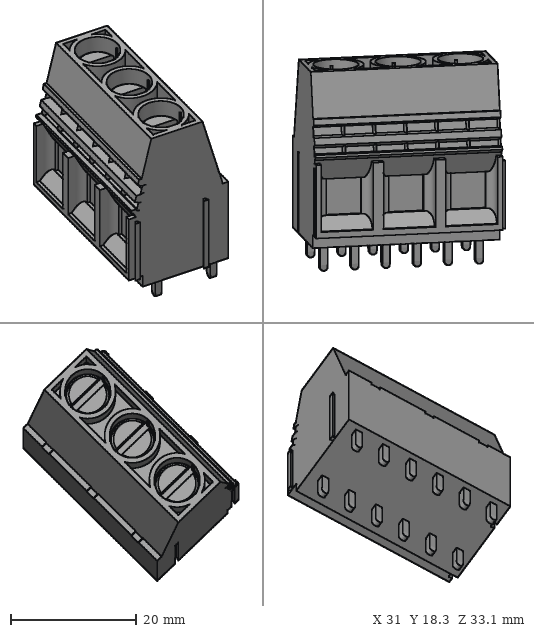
import cadquery as cq
import math


pole_count = 3
pitch = 10.15
length = pole_count * pitch
height = 33.1
depth = 18.3
base_z = 4.65

foot_y = 2.5
lip_bottom_z = 6.75
lip_top_z = 18.75
top_front_y = 4.1
top_back_y = 13.57
ledge_z = 19.63
ledge_width = 1.0

slope_foot_y, slope_foot_z = 2.35, 25.85
wall_inset = 1.45
rib_inset = 0.45
cells_per_pole = 2
rib_half_width = 0.25
rib_embed = 0.53
upper_rail_proud = 0.5
middle_rail_proud = 0.25
lower_rail_proud = 0.53
upper_rail_tip_z = 24.9
upper_rail_heel_y, upper_rail_heel_z = 2.4, 24.43
upper_cell_top_z, upper_cell_bottom_z = 24.3, 22.87
middle_rail_tip_z = 21.75
lower_cell_top_z, lower_cell_bottom_z = 21.0, 20.0
trough_y, trough_z = 1.8, 19.75
lower_rail_top_z, lower_rail_tip_z = 20.25, 19.85
throat_z = 19.33
lip_depth = 1.25

pocket_width = 8.47
pocket_floor_z = 7.75
floor_land = 0.63
funnel_y = 2.6
tunnel_bottom_z, tunnel_top_z = 9.85, 15.85
corner_radius = 1.4
corner_end_y = 2.7
tunnel_end_y = 3.25

well_radius = 3.65
boss_radius = 4.45
recess_wall = 0.85
recess_depth = 3.97
screw_y = (top_front_y + top_back_y) / 2
screw_drop = 2.45
screw_radius = 3.4
screw_chamfer = 0.4
slot_width = 1.25
slot_depth = 1.32
well_key_width = 0.4
well_key_thickness = 0.2
well_key_drop = 1.0

notch_width = 1.6
notch_depth = 0.5
notch_dip = 0.05

dovetail_top_z = 17.87
dovetail_places = ((1.3, lip_bottom_z), (13.9, base_z))
tongue_height = 0.55
tongue_base_width = 0.33
tongue_tip_width = 0.95
groove_mouth_width = 0.7
groove_floor_width = 1.05
groove_depth = 0.63

pins_per_pole = 2
pin_width = 1.22
pin_rows_y = (6.6, 16.7)
pin_taper_z = 1.0
pin_tip_thickness = 0.93
pin_root_depth = 0.65

pole_centers = [(i + 0.5) * pitch for i in range(pole_count)]


def slope_y(z, inset=0.0):
    """Y of the front slope at height z, moved back by inset."""
    run = (top_front_y - slope_foot_y) / (height - slope_foot_z)
    return top_front_y - run * (height - z) + inset


def slope_point(z, inset=0.0):
    """(Y, Z) point on the front slope at height z, moved back by inset."""
    return (slope_y(z, inset), z)


def extrude_along_x(points, x_start, x_length):
    """Prism along X from a (Y, Z) outline."""
    return cq.Workplane("YZ").workplane(offset=x_start).polyline(points).close().extrude(x_length)


def box(x_center, y_start, y_end, z_start, z_end, width):
    """Block given by its X centre and width and its Y and Z limits."""
    corner = (x_center - width / 2, y_start, z_start)
    return cq.Workplane("XY").box(width, y_end - y_start, z_end - z_start, centered=False).translate(corner)


def make_housing():
    """Side profile of the housing, with its rails and cells, run along the full length."""
    ceiling_run = (funnel_y - lip_depth) / (lip_top_z - tunnel_top_z)
    throat_y = lip_depth - ceiling_run * (throat_z - lip_top_z)
    front_points = [
        (top_front_y, height),
        (slope_foot_y, slope_foot_z),
        slope_point(slope_foot_z, -upper_rail_proud),
        slope_point(upper_rail_tip_z, -upper_rail_proud),
        (upper_rail_heel_y, upper_rail_heel_z),
        slope_point(upper_cell_top_z, wall_inset),
        slope_point(upper_cell_bottom_z, wall_inset),
        slope_point(upper_cell_bottom_z, -middle_rail_proud),
        slope_point(middle_rail_tip_z, -middle_rail_proud),
        slope_point(lower_cell_top_z, wall_inset),
        slope_point(lower_cell_bottom_z, wall_inset),
    ]
    lower_points = [
        slope_point(lower_rail_top_z, -lower_rail_proud),
        slope_point(lower_rail_tip_z, -lower_rail_proud),
        (throat_y, throat_z),
        (lip_depth, lip_top_z),
        (0, lip_top_z),
        (0, lip_bottom_z),
        (foot_y, lip_bottom_z),
        (foot_y, base_z),
    ]
    outline = cq.Workplane("YZ").moveTo(foot_y, base_z)
    outline = outline.lineTo(depth, base_z)
    outline = outline.lineTo(depth, ledge_z)
    outline = outline.lineTo(depth - ledge_width, ledge_z)
    outline = outline.lineTo(top_back_y, height)
    for point in front_points:
        outline = outline.lineTo(*point)
    outline = outline.threePointArc((trough_y, trough_z), slope_point(lower_rail_top_z, rib_inset))
    for point in lower_points:
        outline = outline.lineTo(*point)
    return outline.close().extrude(length)


def make_rib(x, z_bottom, z_top):
    """Triangular rib that follows the front slope between two rails."""
    def section(z):
        back_y = slope_y(z, wall_inset)
        corners = [(x - rib_half_width, back_y), (x, slope_y(z, rib_inset)), (x + rib_half_width, back_y)]
        return cq.Wire.makePolygon([cq.Vector(px, py, z) for px, py in corners], close=True)
    return cq.Workplane(cq.Solid.makeLoft([section(z_bottom), section(z_top)], True))


def make_ribs():
    """Ribs between the cells of both rows, halved at the two ends of the block."""
    ribs = cq.Workplane("XY")
    upper_end_z = upper_cell_top_z + rib_embed
    lower_start_z = lower_cell_bottom_z - rib_embed
    lower_end_z = lower_cell_top_z + rib_embed
    for i in range(pole_count * cells_per_pole + 1):
        x = i * pitch / cells_per_pole
        ribs = ribs.add(make_rib(x, upper_cell_bottom_z, upper_end_z))
        ribs = ribs.add(make_rib(x, lower_start_z, lower_end_z))
    within_length = box(length / 2, 0, depth, base_z, height, length)
    return ribs.combine().intersect(within_length)


def make_pocket(x):
    """Funnel-shaped wire entry with rounded rear corners and a square tunnel end."""
    funnel_outline = [
        (0, pocket_floor_z),
        (floor_land, pocket_floor_z),
        (funnel_y, tunnel_bottom_z),
        (tunnel_end_y, tunnel_bottom_z),
        (tunnel_end_y, tunnel_top_z),
        (funnel_y, tunnel_top_z),
        (lip_depth, lip_top_z),
        (0, lip_top_z),
    ]
    funnel = extrude_along_x(funnel_outline, x - pocket_width / 2, pocket_width)

    half = pocket_width / 2
    inner_half = half - corner_radius
    corner_start_y = corner_end_y - corner_radius
    bend = corner_radius * math.sqrt(0.5)
    plan = (
        cq.Workplane("XY")
        .workplane(offset=pocket_floor_z)
        .moveTo(x - half, 0)
        .lineTo(x - half, corner_start_y)
        .threePointArc((x - inner_half - bend, corner_start_y + bend), (x - inner_half, corner_end_y))
        .lineTo(x - inner_half, tunnel_end_y)
        .lineTo(x + inner_half, tunnel_end_y)
        .lineTo(x + inner_half, corner_end_y)
        .threePointArc((x + inner_half + bend, corner_start_y + bend), (x + half, corner_start_y))
        .lineTo(x + half, 0)
        .close()
        .extrude(lip_top_z - pocket_floor_z)
    )
    return funnel.intersect(plan)


def make_top_recess():
    """Sunken area of the top, with a round boss left standing at each screw."""
    recess = box(
        length / 2,
        top_front_y + recess_wall,
        top_back_y - recess_wall,
        height - recess_depth,
        height,
        length - 2 * recess_wall,
    )
    boss_points = [(x, screw_y) for x in pole_centers]
    bosses = (
        cq.Workplane("XY")
        .workplane(offset=height - recess_depth)
        .pushPoints(boss_points)
        .circle(boss_radius)
        .extrude(recess_depth)
    )
    return recess.cut(bosses)


def make_screw_well(x):
    """Empty space of a screw well: the bore less a slotted screw head and two guide keys."""
    head_top_z = height - screw_drop
    floor_z = head_top_z - slot_depth
    bore = cq.Workplane("XY").workplane(offset=floor_z).center(x, screw_y).circle(well_radius)
    bore = bore.extrude(height - floor_z)
    head = cq.Workplane("XY").workplane(offset=floor_z).center(x, screw_y).circle(screw_radius)
    head = head.extrude(slot_depth).faces(">Z").chamfer(screw_chamfer)
    slot = box(x, screw_y - well_radius, screw_y + well_radius, floor_z, head_top_z, slot_width)
    keys = box(
        x,
        screw_y - well_radius,
        screw_y + well_radius,
        floor_z,
        height - well_key_drop,
        well_key_width,
    )
    key_clearance = cq.Workplane("XY").workplane(offset=floor_z).center(x, screw_y)
    key_clearance = key_clearance.circle(well_radius - well_key_thickness).extrude(height - floor_z)
    return bore.cut(head.cut(slot)).cut(keys.cut(key_clearance))


def make_ledge_notch(x):
    """Shallow notch in the rear ledge; the inner half of its floor dips towards the housing."""
    ledge_y = depth - ledge_width
    floor_z = ledge_z - notch_depth
    outline = [
        (ledge_y, ledge_z),
        (ledge_y, floor_z - notch_dip),
        (ledge_y + ledge_width / 2, floor_z),
        (depth, floor_z),
        (depth, ledge_z),
    ]
    return extrude_along_x(outline, x - notch_width / 2, notch_width)


def make_dovetail(x, y, z_bottom, near_width, far_width, reach):
    """Vertical dovetail bar reaching in +X from the plane at x."""
    outline = [
        (x, y - near_width / 2),
        (x + reach, y - far_width / 2),
        (x + reach, y + far_width / 2),
        (x, y + near_width / 2),
    ]
    plan = cq.Workplane("XY").workplane(offset=z_bottom).polyline(outline).close()
    return plan.extrude(dovetail_top_z - z_bottom)


def make_pin(x, y):
    """Flat pin with a round end, thinned towards its tip."""
    radius = pin_width / 2
    top_z = base_z + pin_root_depth
    face = (
        cq.Workplane("XZ", origin=(x, y + radius, 0))
        .moveTo(-radius, top_z)
        .lineTo(-radius, radius)
        .threePointArc((0, 0), (radius, radius))
        .lineTo(radius, top_z)
        .close()
        .extrude(pin_width)
    )
    tip_half = pin_tip_thickness / 2
    side_outline = [
        (y - radius, top_z),
        (y - radius, pin_taper_z),
        (y - tip_half, 0),
        (y + tip_half, 0),
        (y + radius, pin_taper_z),
        (y + radius, top_z),
    ]
    return face.intersect(extrude_along_x(side_outline, x - radius, pin_width))


result = make_housing().union(make_ribs())
result = result.cut(make_top_recess())

for pole_x in pole_centers:
    result = result.cut(make_pocket(pole_x))
    result = result.cut(make_screw_well(pole_x))
    result = result.cut(make_ledge_notch(pole_x))

for dovetail_y, dovetail_z in dovetail_places:
    groove = make_dovetail(0, dovetail_y, dovetail_z, groove_mouth_width, groove_floor_width, groove_depth)
    tongue = make_dovetail(length, dovetail_y, dovetail_z, tongue_base_width, tongue_tip_width, tongue_height)
    result = result.cut(groove).union(tongue)

pin_pitch = pitch / pins_per_pole
for pin_index in range(pole_count * pins_per_pole):
    for pin_y in pin_rows_y:
        result = result.union(make_pin((pin_index + 0.5) * pin_pitch, pin_y))